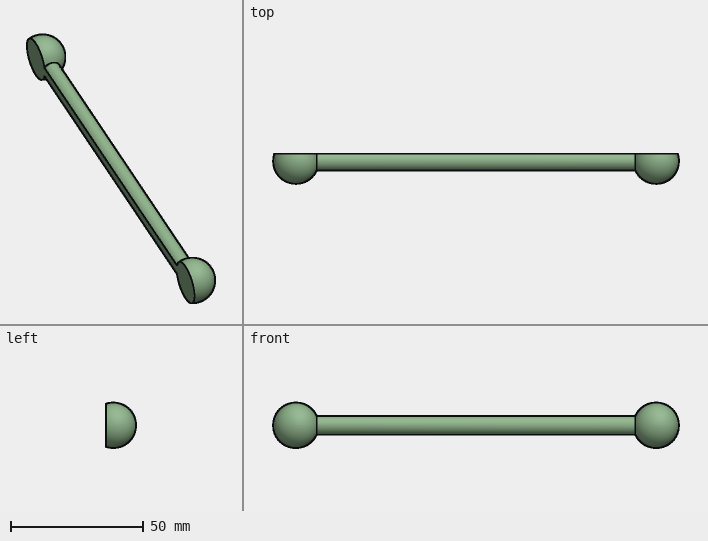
import cadquery as cq

overall_length = 153.3
overall_depth = 11.5
ball_diameter = 17.3
rod_diameter = 7.2

ball_radius = ball_diameter / 2
flat_y = overall_depth - ball_radius
ball_spacing = overall_length - ball_diameter


def ball(x):
    """Ball centred on the bar axis, with its poles along Y."""
    upright = cq.Workplane("XY").sphere(ball_radius)
    return upright.rotate((0, 0, 0), (1, 0, 0), 90).translate((x, 0, 0))


bar = cq.Workplane("YZ").circle(rod_diameter / 2).extrude(ball_spacing / 2, both=True)

for side in (-1, 1):
    bar = bar.union(ball(side * ball_spacing / 2))

kept_region = (
    cq.Workplane("XY")
    .box(overall_length, overall_depth, ball_diameter)
    .translate((0, flat_y - overall_depth / 2, 0))
)
result = bar.intersect(kept_region)